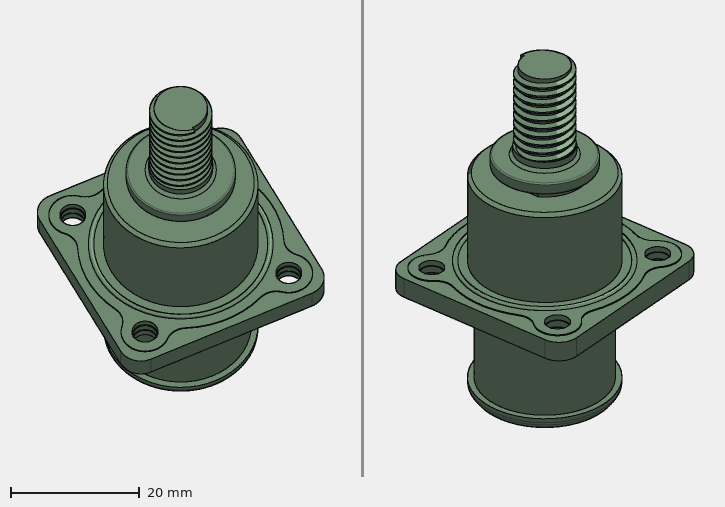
import cadquery as cq
import math

total_height = 60.1
rim_top = 2.35
plate_bottom = 20.25
plate_top = 23.7
pad_top = 23.85
body_top = 40.15
washer_bottom = 41.5
washer_top = 43.6
collar_cone_top = 44.1
thread_bottom = 45.25

spigot_radius = 11.0
rim_radius = 12.0
rim_foot_radius = 11.05
rim_taper_height = 1.3
rim_upper_fillet = 0.9
rim_foot_fillet = 0.7

plate_width = 35.0
plate_corner_radius = 3.5
hole_offset = 12.5
hole_diameter = 4.0
waist_diameter = 3.7
waist_depth = 0.95
waist_height = 1.25
pad_radius = 16.05
lobe_radius = 3.7
pad_blend_radius = 3.2
bead_radius = 13.95
bead_section_radius = 0.4

body_radius = 12.0
body_chamfer = 0.6
neck_radius = 7.05
neck_width_across_flats = 12.2
washer_diameter = 17.0
washer_fillet = 0.25
collar_radius = 5.0
collar_cone_radius = 5.5

thread_pitch = 1.5
root_radius = 4.15
crest_radius = 4.85
crest_width = 0.3
flank_angle = 30
thread_top_crest_drop = 0.35
overlap = 0.05

hole_points = [(sx * hole_offset, sy * hole_offset) for sx in (-1, 1) for sy in (-1, 1)]


def cylinder(radius, bottom, top):
    return cq.Workplane("XY").workplane(offset=bottom).circle(radius).extrude(top - bottom)


def make_rim():
    outline = (
        cq.Workplane("XZ")
        .moveTo(0, 0)
        .lineTo(rim_foot_radius, 0)
        .lineTo(rim_radius, rim_taper_height)
        .lineTo(rim_radius, rim_top)
        .lineTo(0, rim_top)
        .close()
    )
    rim = outline.revolve(360, (0, 0, 0), (0, 1, 0))
    taper_edge_box = cq.selectors.BoxSelector(
        (-plate_width, -plate_width, rim_taper_height - overlap),
        (plate_width, plate_width, rim_taper_height + overlap),
        boundingbox=True,
    )
    rim = rim.edges(taper_edge_box).fillet(rim_upper_fillet)
    return rim.faces("<Z").edges().fillet(rim_foot_fillet)


def make_pad():
    """Round pad with a lobe around each hole, blended by hollow arcs."""
    height = pad_top - plate_bottom
    pad = cylinder(pad_radius, plate_bottom, pad_top)
    lobes = (
        cq.Workplane("XY").workplane(offset=plate_bottom)
        .pushPoints(hole_points).circle(lobe_radius).extrude(height)
    )
    pad = pad.union(lobes)
    hole_distance = math.hypot(hole_offset, hole_offset)
    along = (pad_radius**2 - lobe_radius**2 + hole_distance**2) / (2 * hole_distance)
    across = math.sqrt(pad_radius**2 - along**2)
    middle = (plate_bottom + pad_top) / 2
    for quarter in range(4):
        angle = math.radians(45 + 90 * quarter)
        for side in (-across, across):
            x = along * math.cos(angle) - side * math.sin(angle)
            y = along * math.sin(angle) + side * math.cos(angle)
            corner = cq.selectors.NearestToPointSelector((x, y, middle))
            pad = pad.edges("|Z").edges(corner).fillet(pad_blend_radius)
    return pad


def make_plate():
    plate = (
        cq.Workplane("XY").workplane(offset=plate_bottom)
        .rect(plate_width, plate_width).extrude(plate_top - plate_bottom)
        .edges("|Z").fillet(plate_corner_radius)
    )
    bead = cq.Workplane("XY").add(
        cq.Solid.makeTorus(bead_radius, bead_section_radius, cq.Vector(0, 0, pad_top))
    )
    return plate.union(make_pad()).union(bead)


def make_hole_cutter():
    """Screw holes with a narrow waist between two wider ends."""
    waist_top = pad_top - waist_depth
    waist_bottom = waist_top - waist_height

    def drill(diameter, bottom, top):
        return (
            cq.Workplane("XY").workplane(offset=bottom)
            .pushPoints(hole_points).circle(diameter / 2).extrude(top - bottom)
        )

    cutter = drill(waist_diameter, plate_bottom, pad_top)
    cutter = cutter.union(drill(hole_diameter, waist_top, pad_top))
    return cutter.union(drill(hole_diameter, plate_bottom, waist_bottom))


def make_upper_body():
    body = cylinder(body_radius, plate_bottom, body_top).faces(">Z").edges().chamfer(body_chamfer)
    flats = cq.Workplane("XY").workplane(offset=body_top).rect(
        2 * neck_radius, neck_width_across_flats
    ).extrude(washer_bottom - body_top)
    neck = cylinder(neck_radius, body_top, washer_bottom).intersect(flats)
    washer = cylinder(washer_diameter / 2, washer_bottom, washer_top).edges().fillet(washer_fillet)
    return body.union(neck).union(washer)


def make_collar():
    outline = (
        cq.Workplane("XZ")
        .moveTo(0, washer_top)
        .lineTo(collar_cone_radius, washer_top)
        .lineTo(collar_radius, collar_cone_top)
        .lineTo(collar_radius, thread_bottom)
        .lineTo(0, thread_bottom)
        .close()
    )
    return outline.revolve(360, (0, 0, 0), (0, 1, 0))


def make_stud():
    """Core with one helical ridge, ending on the +X side and trimmed flat at the top."""
    turns = math.ceil((total_height - thread_bottom) / thread_pitch)
    start = total_height - thread_top_crest_drop - turns * thread_pitch
    inner_radius = root_radius - overlap
    crest_half = crest_width / 2
    base_half = crest_half + (crest_radius - inner_radius) * math.tan(math.radians(flank_angle))
    path = cq.Wire.makeHelix(thread_pitch, turns * thread_pitch, root_radius, cq.Vector(0, 0, start))
    ridge = (
        cq.Workplane("XZ")
        .polyline([
            (inner_radius, start - base_half),
            (crest_radius, start - crest_half),
            (crest_radius, start + crest_half),
            (inner_radius, start + base_half),
        ])
        .close()
        .sweep(cq.Workplane("XY").add(path), isFrenet=True)
    )
    envelope = cylinder(collar_radius, washer_top, total_height)
    core = cylinder(root_radius, washer_top, total_height)
    return core.union(ridge.intersect(envelope))


result = (
    make_rim()
    .union(cylinder(spigot_radius, rim_top, plate_bottom))
    .union(make_plate())
    .union(make_upper_body())
    .cut(make_hole_cutter())
    .union(make_collar().union(make_stud()))
)